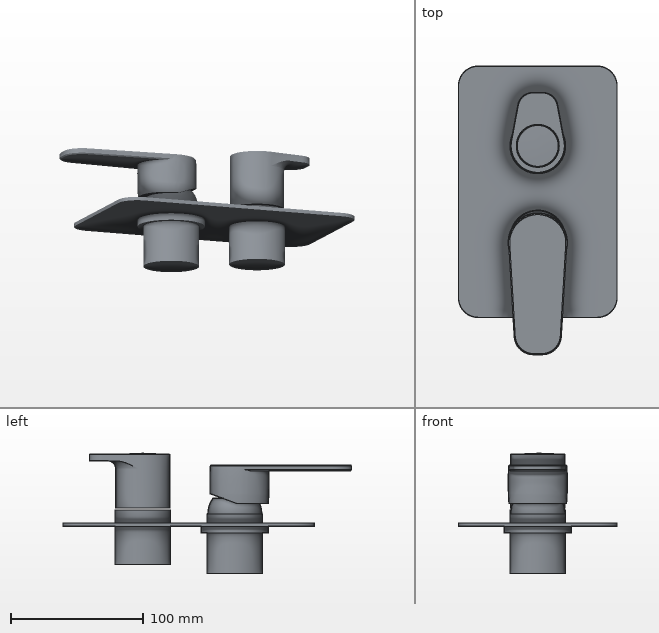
import cadquery as cq
import math

OVERALL_LENGTH = 218.0

PLATE_WIDTH = 120.0
PLATE_LENGTH = 190.0
PLATE_THICKNESS = 2.6
PLATE_CORNER_RADIUS = 15.0

DIVERTER_Y = 34.7
MIXER_Y = -34.9
SLEEVE_RADIUS = 42.0 / 2
DIVERTER_SLEEVE_BOTTOM = -29.0
DIVERTER_SLEEVE_TOP = 12.5
MIXER_SLEEVE_BOTTOM = -35.8
MIXER_SLEEVE_TOP = 9.2

COLLAR_RADIUS = 50.8 / 2
COLLAR_HEIGHT = 5.0

KNOB_RADIUS = 41.0 / 2
KNOB_BOTTOM = 13.7
KNOB_TOP = 54.5
KNOB_EDGE_CHAMFER = 0.5
HANDLE_REACH = 40.3
HANDLE_THICKNESS = 5.2
HANDLE_TIP_RADIUS = 11.5
HANDLE_TAPER = math.radians(10.6)
HANDLE_BLEND_RADIUS = 5.7

BUTTON_RADIUS = 31.0 / 2
BUTTON_RECESS_RADIUS = 31.6 / 2
BUTTON_RECESS_CHAMFER = 0.5
BUTTON_DEPTH = 2.2
BUTTON_CROWN = 0.7

DOME_RADIUS = 41.0 / 2
DOME_HEIGHT = 12.0

HUB_OFFSET = 3.5
HUB_Y = MIXER_Y - HUB_OFFSET
HUB_BULGE_RADIUS = 22.5
HUB_BOTTOM_RADIUS = 21.8
HUB_BOTTOM = 17.0
HUB_BULGE_Z = 32.7
HUB_CUT_START = 1.5
HUB_CUT_ANGLE = math.radians(20.0)
LEVER_TOP = 46.5
LEVER_THICKNESS = 4.5
LEVER_RADIUS = 22.0
LEVER_REACH = OVERALL_LENGTH - PLATE_LENGTH / 2 + HUB_Y
LEVER_TIP_RADIUS = 14.8
LEVER_TAPER = math.radians(3.4)
LEVER_EDGE_CHAMFER = 0.9


def cylinder(y, radius, bottom, top):
    """Upright cylinder standing on the X = 0 line."""
    return cq.Workplane("XY", origin=(0, y, bottom)).circle(radius).extrude(top - bottom)


def teardrop(radius, reach, tip_radius, taper):
    """Outline of a paddle: a round end at the origin and a narrower, rounded tip towards +Y.

    The straight sides are tangent to the round end and lean inwards by the taper angle.
    """
    side_x = radius * math.cos(taper)
    side_y = radius * math.sin(taper)
    tip_center_y = reach - tip_radius
    side_reach_x = (radius - tip_center_y * math.sin(taper)) / math.cos(taper)
    tip_center_x = side_reach_x - tip_radius / math.cos(taper)
    tip_x = tip_center_x + tip_radius * math.cos(taper)
    tip_y = tip_center_y + tip_radius * math.sin(taper)
    mid_angle = (taper + math.pi / 2) / 2
    mid_x = tip_center_x + tip_radius * math.cos(mid_angle)
    mid_y = tip_center_y + tip_radius * math.sin(mid_angle)
    return (
        cq.Workplane("XY")
        .moveTo(side_x, side_y)
        .lineTo(tip_x, tip_y)
        .threePointArc((mid_x, mid_y), (tip_center_x, reach))
        .lineTo(-tip_center_x, reach)
        .threePointArc((-mid_x, mid_y), (-tip_x, tip_y))
        .lineTo(-side_x, side_y)
        .threePointArc((0, -radius), (side_x, side_y))
        .close()
    )


def make_plate():
    plate = (
        cq.Workplane("XY")
        .rect(PLATE_WIDTH, PLATE_LENGTH)
        .extrude(PLATE_THICKNESS)
        .edges("|Z")
        .fillet(PLATE_CORNER_RADIUS)
    )
    for y in (DIVERTER_Y, MIXER_Y):
        plate = plate.cut(cylinder(y, SLEEVE_RADIUS, 0, PLATE_THICKNESS))
    return plate


def make_collar():
    collar = cylinder(MIXER_Y, COLLAR_RADIUS, -COLLAR_HEIGHT, 0)
    return collar.cut(cylinder(MIXER_Y, SLEEVE_RADIUS, -COLLAR_HEIGHT, 0))


def make_handle_clearance(bottom, top):
    """Ring of empty space under the handle, with a concave blend from the knob wall to the handle."""
    blend_edge = KNOB_RADIUS + HANDLE_BLEND_RADIUS
    blend_mid_x = blend_edge - HANDLE_BLEND_RADIUS * math.cos(math.pi / 4)
    blend_mid_z = bottom + HANDLE_BLEND_RADIUS * math.sin(math.pi / 4)
    outer_radius = HANDLE_REACH + KNOB_RADIUS
    return (
        cq.Workplane("XZ")
        .moveTo(KNOB_RADIUS, bottom)
        .threePointArc((blend_mid_x, blend_mid_z), (blend_edge, top))
        .lineTo(outer_radius, top)
        .lineTo(outer_radius, bottom)
        .close()
        .revolve(360, (0, 0, 0), (0, 1, 0))
    )


def make_knob():
    """Diverter knob: a cylinder carrying a paddle handle, with a recess for the button on top."""
    handle_bottom = KNOB_TOP - HANDLE_THICKNESS
    blend_bottom = handle_bottom - HANDLE_BLEND_RADIUS
    outline = teardrop(KNOB_RADIUS, HANDLE_REACH, HANDLE_TIP_RADIUS, HANDLE_TAPER)
    head = outline.extrude(KNOB_TOP - blend_bottom).translate((0, 0, blend_bottom))
    head = head.faces(">Z").chamfer(KNOB_EDGE_CHAMFER)
    head = head.cut(make_handle_clearance(blend_bottom, handle_bottom))
    head = head.translate((0, DIVERTER_Y, 0))
    knob = head.union(cylinder(DIVERTER_Y, KNOB_RADIUS, KNOB_BOTTOM, blend_bottom))

    recess = cylinder(DIVERTER_Y, BUTTON_RECESS_RADIUS, KNOB_TOP - BUTTON_DEPTH, KNOB_TOP)
    recess_rim = (
        cq.Workplane("XY", origin=(0, DIVERTER_Y, KNOB_TOP))
        .circle(BUTTON_RECESS_RADIUS + BUTTON_RECESS_CHAMFER)
        .extrude(-BUTTON_RECESS_CHAMFER, taper=45)
    )
    return knob.cut(recess).cut(recess_rim)


def make_button():
    """Low button with a slightly crowned top, seated in the recess of the knob."""
    crown_sphere_radius = (BUTTON_RADIUS**2 + BUTTON_CROWN**2) / (2 * BUTTON_CROWN)
    crown_top = KNOB_TOP + BUTTON_CROWN
    crown = cq.Workplane("XY").sphere(crown_sphere_radius)
    crown = crown.translate((0, DIVERTER_Y, crown_top - crown_sphere_radius))
    return cylinder(DIVERTER_Y, BUTTON_RADIUS, KNOB_TOP - BUTTON_DEPTH, crown_top).intersect(crown)


def make_dome():
    """Ball standing on the mixer sleeve, cut flat at its equator and at its top."""
    ball = cq.Workplane("XY").sphere(DOME_RADIUS).translate((0, MIXER_Y, MIXER_SLEEVE_TOP))
    return ball.intersect(
        cylinder(MIXER_Y, DOME_RADIUS, MIXER_SLEEVE_TOP, MIXER_SLEEVE_TOP + DOME_HEIGHT)
    )


def make_hub():
    """Barrel-shaped hub centred on the Z axis, cut away at the back by a slope that rises towards +Y."""
    hub = (
        cq.Workplane("XZ")
        .moveTo(0, HUB_BOTTOM)
        .lineTo(HUB_BOTTOM_RADIUS, HUB_BOTTOM)
        .threePointArc((HUB_BULGE_RADIUS, HUB_BULGE_Z), (LEVER_RADIUS, LEVER_TOP - LEVER_EDGE_CHAMFER))
        .lineTo(LEVER_RADIUS - LEVER_EDGE_CHAMFER, LEVER_TOP)
        .lineTo(0, LEVER_TOP)
        .close()
        .revolve(360, (0, 0, 0), (0, 1, 0))
    )
    cut_run = 2 * HUB_BULGE_RADIUS
    slope = (
        cq.Workplane("YZ", origin=(-cut_run, 0, 0))
        .moveTo(HUB_CUT_START, HUB_BOTTOM)
        .lineTo(HUB_CUT_START + cut_run, HUB_BOTTOM)
        .lineTo(HUB_CUT_START + cut_run, HUB_BOTTOM + cut_run * math.tan(HUB_CUT_ANGLE))
        .close()
        .extrude(2 * cut_run)
    )
    return hub.cut(slope)


def make_lever(dome):
    """Mixer lever: a flat paddle pointing towards -Y on a hub that is hollowed to fit the dome."""
    outline = teardrop(LEVER_RADIUS, LEVER_REACH, LEVER_TIP_RADIUS, LEVER_TAPER)
    paddle = outline.extrude(LEVER_THICKNESS).rotate((0, 0, 0), (0, 0, 1), 180)
    paddle = paddle.translate((0, 0, LEVER_TOP - LEVER_THICKNESS))
    paddle = paddle.faces("<Z or >Z").chamfer(LEVER_EDGE_CHAMFER)
    lever = paddle.union(make_hub())
    return lever.translate((0, HUB_Y, 0)).cut(dome)


plate = make_plate()
diverter_sleeve = cylinder(DIVERTER_Y, SLEEVE_RADIUS, DIVERTER_SLEEVE_BOTTOM, DIVERTER_SLEEVE_TOP)
mixer_sleeve = cylinder(MIXER_Y, SLEEVE_RADIUS, MIXER_SLEEVE_BOTTOM, MIXER_SLEEVE_TOP)
collar = make_collar()
knob = make_knob()
button = make_button()
dome = make_dome()
lever = make_lever(dome)

result = cq.Compound.makeCompound(
    [
        plate.val(),
        diverter_sleeve.val(),
        mixer_sleeve.val(),
        collar.val(),
        knob.val(),
        button.val(),
        dome.val(),
        lever.val(),
    ]
)